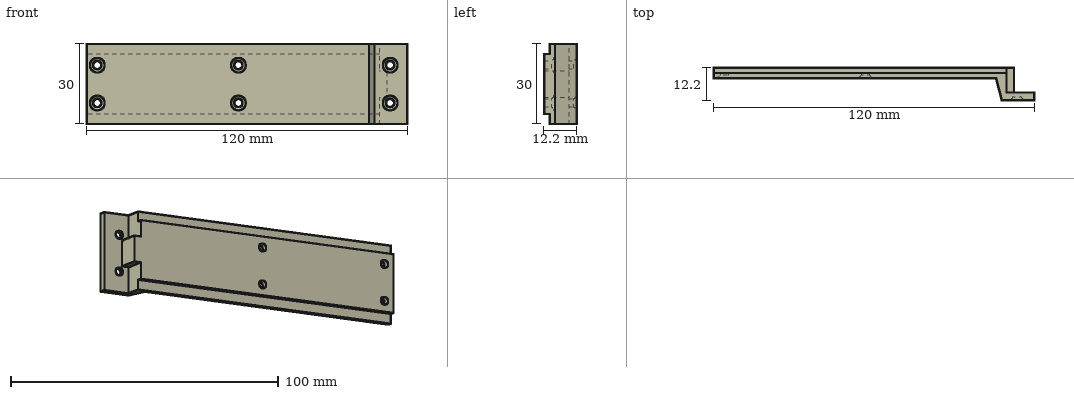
import cadquery as cq

length = 120.0
depth = 12.2
height = 30.0

plate_back_setback = 2.0
plate_front_setback = 4.0
tongue_edge_margin = 3.7

foot_thickness = 3.0
web_back_x = length - 10.5
web_top_x = length - 14.4
web_bottom_x = length - 12.2

rib_end_x = length - 7.5
rib_height = 10.0

hole_diameter = 3.0
sink_diameter = 5.5
sink_depth = 1.2
hole_columns = [4.0, 56.8]
foot_hole_x = length - 6.5
hole_spacing = 14.2

plate_front_y = depth - plate_front_setback
plate_back_y = depth - plate_back_setback
mid_z = height / 2


def block(x_start, x_end, y_start, y_end, z_size):
    """Box centred on the middle height of the part."""
    return cq.Workplane("XY").box(
        x_end - x_start, y_end - y_start, z_size, centered=(False, False, True)
    ).translate((x_start, y_start, mid_z))


def cut_countersunk_pair(body, x, front_y):
    """Cut two holes, one above the other, from a front face."""
    face = cq.Workplane("XZ", origin=(x, front_y, mid_z))
    for z in (-hole_spacing / 2, hole_spacing / 2):
        shank = face.center(0, z).circle(hole_diameter / 2).extrude(-depth)
        sink = (
            face.center(0, z)
            .circle(sink_diameter / 2)
            .workplane(offset=-sink_depth)
            .circle(hole_diameter / 2)
            .loft()
        )
        body = body.cut(shank).cut(sink)
    return body


body = (
    cq.Workplane("XY")
    .polyline([
        (0, plate_back_y),
        (0, plate_front_y),
        (web_top_x, plate_front_y),
        (web_bottom_x, 0),
        (length, 0),
        (length, foot_thickness),
        (web_back_x, foot_thickness),
        (web_back_x, plate_back_y),
    ])
    .close()
    .extrude(height)
)

tongue_height = height - 2 * tongue_edge_margin
body = body.union(block(0, web_back_x, plate_back_y, depth, tongue_height))
body = body.union(block(web_back_x, rib_end_x, foot_thickness, depth, rib_height))

for column_x in hole_columns:
    body = cut_countersunk_pair(body, column_x, plate_front_y)
body = cut_countersunk_pair(body, foot_hole_x, 0)

result = body